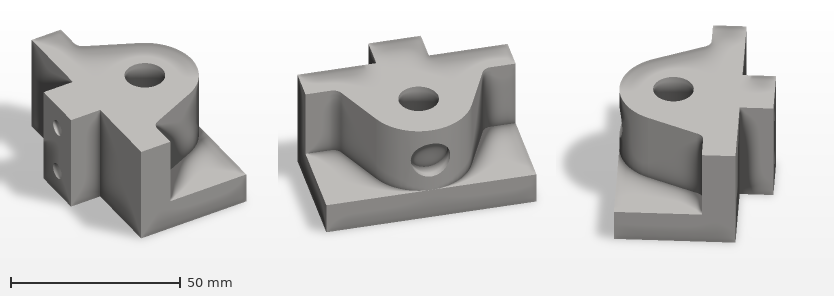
import cadquery as cq
import math

width = 64.0
depth = 46.0
height = 32.0

key_width = 16.0
key_depth = 10.0
wall_thickness = 10.0
base_thickness = 10.0
wall_back = key_depth + wall_thickness

boss_radius = 16.0
boss_center_y = depth - boss_radius
flank_angle = 25.0
root_fillet = 3.0
root_margin = 0.65

bore_diameter = 12.0
cross_bore_diameter = 12.0
cross_bore_z = 21.0
cross_bore_depth = 5.0

pin_hole_diameter = 5.0
pin_hole_depth = 10.0
pin_hole_heights = (height / 4, height * 3 / 4)
drill_point_angle = 118.0


def block(size_x, y_start, y_end, z_top):
    """Block centred on X, standing on Z = 0."""
    return (
        cq.Workplane("XY")
        .box(size_x, y_end - y_start, z_top, centered=(True, False, False))
        .translate((0, y_start, 0))
    )


def make_wall_and_boss():
    """Upright wall blending through tapered flanks into the rounded boss."""
    angle = math.radians(flank_angle)
    tangent_x = boss_radius * math.cos(angle)
    tangent_y = boss_center_y + boss_radius * math.sin(angle)
    root_x = tangent_x + (tangent_y - wall_back) * math.tan(angle)
    half_width = width / 2
    profile = (
        cq.Workplane("XY")
        .moveTo(-half_width, key_depth)
        .lineTo(half_width, key_depth)
        .lineTo(half_width, wall_back)
        .lineTo(root_x, wall_back)
        .lineTo(tangent_x, tangent_y)
        .threePointArc((0, depth), (-tangent_x, tangent_y))
        .lineTo(-root_x, wall_back)
        .lineTo(-half_width, wall_back)
        .close()
        .extrude(height)
    )
    roots = cq.selectors.BoxSelector(
        (-root_x - root_margin, wall_back - root_margin, 0),
        (root_x + root_margin, wall_back + root_margin, height),
    )
    return profile.edges("|Z").edges(roots).fillet(root_fillet)


def make_pin_hole(z):
    """Drilled hole with a conical end, running in +Y from the key's front face."""
    radius = pin_hole_diameter / 2
    point_length = radius / math.tan(math.radians(drill_point_angle / 2))
    return (
        cq.Workplane("XY")
        .lineTo(radius, 0)
        .lineTo(radius, pin_hole_depth)
        .lineTo(0, pin_hole_depth + point_length)
        .close()
        .revolve(360, (0, 0, 0), (0, 1, 0))
        .translate((0, 0, z))
    )


body = block(width, key_depth, depth, base_thickness)
body = body.union(make_wall_and_boss())
body = body.union(block(key_width, 0, key_depth, height))

bore = (
    cq.Workplane("XY", origin=(0, boss_center_y, base_thickness))
    .circle(bore_diameter / 2)
    .extrude(height - base_thickness)
)
body = body.cut(bore)

cross_bore = (
    cq.Workplane("XZ", origin=(0, depth, cross_bore_z))
    .circle(cross_bore_diameter / 2)
    .extrude(cross_bore_depth)
)
body = body.cut(cross_bore)

for hole_height in pin_hole_heights:
    body = body.cut(make_pin_hole(hole_height))

result = body